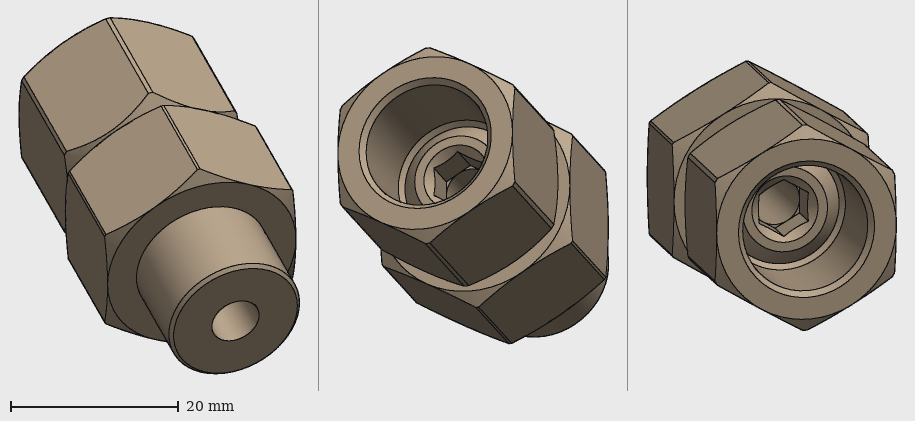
import cadquery as cq
import math

total_length = 44.5
nut_end = 18.0
body_hex_start = 18.5
body_hex_end = 32.97

nut_flats = 22.0
nut_corners = 25.05
nut_front_bevel = 2.5
body_flats = 24.0
body_corners = 27.5
hex_bevel_angle = 30.0
neck_diameter = 17.8
spigot_diameter = 16.65
spigot_chamfer = 0.45

mouth_diameter = 16.65
bore_diameter = 15.3
seat_diameter = 14.05
seat_position = 13.35
ball_diameter = 17.8
nose_diameter = 10.4
countersink_diameter = 8.1
passage_diameter = 6.0
socket_flats = 6.0
socket_depth = 5.35


def revolve_about_x(sketch):
    """Revolve a profile drawn as (position along X, radius)."""
    return sketch.close().revolve(360, (0, 0, 0), (1, 0, 0))


def cylinder(start, end, diameter):
    return cq.Workplane("YZ", origin=(start, 0, 0)).circle(diameter / 2).extrude(end - start)


def hex_prism(start, end, flats):
    """Hexagonal prism along X with corners pointing up and down."""
    corner_diameter = flats / math.cos(math.pi / 6)
    prism = cq.Workplane("YZ").polygon(6, corner_diameter).extrude(end - start)
    return prism.rotate((0, 0, 0), (1, 0, 0), 90).translate((start, 0, 0))


def hex_bevel_length(flats, corners):
    """Axial length of a bevel whose end circle touches the flats."""
    return (corners - flats) / 2 * math.tan(math.radians(hex_bevel_angle))


def make_hex(start, end, flats, corners, end_bevel, end_diameter):
    """Hexagon with its corners turned down and both ends bevelled."""
    envelope = revolve_about_x(
        cq.Workplane("XY")
        .moveTo(start, 0)
        .lineTo(start, flats / 2)
        .lineTo(start + hex_bevel_length(flats, corners), corners / 2)
        .lineTo(end - end_bevel, corners / 2)
        .lineTo(end, end_diameter / 2)
        .lineTo(end, 0)
    )
    return hex_prism(start, end, flats).intersect(envelope)


def make_nut_cavity():
    """Chamfered nut bore that closes onto the convex ball nose."""
    mouth_chamfer = (mouth_diameter - bore_diameter) / 2
    seat_radius = seat_diameter / 2
    seat_length = bore_diameter / 2 - seat_radius
    ball_radius = ball_diameter / 2
    nose_radius = nose_diameter / 2
    nose_angle = math.asin(nose_radius / ball_radius)
    seat_angle = math.asin(seat_radius / ball_radius)
    ball_center = seat_position + ball_radius * math.cos(seat_angle)
    nose_face = ball_center - ball_radius * math.cos(nose_angle)
    arc_angle = (nose_angle + seat_angle) / 2
    arc_middle = (
        ball_center - ball_radius * math.cos(arc_angle),
        ball_radius * math.sin(arc_angle),
    )
    cavity = revolve_about_x(
        cq.Workplane("XY")
        .moveTo(0, 0)
        .lineTo(0, mouth_diameter / 2)
        .lineTo(mouth_chamfer, bore_diameter / 2)
        .lineTo(seat_position - seat_length, bore_diameter / 2)
        .lineTo(seat_position, seat_radius)
        .threePointArc(arc_middle, (nose_face, nose_radius))
        .lineTo(nose_face, 0)
    )
    return cavity, nose_face


def make_passage(nose_face):
    """Through hole with a hexagon socket behind a conical countersink."""
    countersink_depth = (countersink_diameter - passage_diameter) / 2
    countersink = revolve_about_x(
        cq.Workplane("XY")
        .moveTo(nose_face, 0)
        .lineTo(nose_face, countersink_diameter / 2)
        .lineTo(nose_face + countersink_depth, passage_diameter / 2)
        .lineTo(nose_face + countersink_depth, 0)
    )
    socket = hex_prism(nose_face, nose_face + socket_depth, socket_flats)
    hole = cylinder(nose_face, total_length, passage_diameter)
    return hole.union(socket).union(countersink)


nut = make_hex(
    0, nut_end, nut_flats, nut_corners,
    nut_front_bevel, nut_corners - 2 * nut_front_bevel,
)
body_hex = make_hex(
    body_hex_start, body_hex_end, body_flats, body_corners,
    hex_bevel_length(body_flats, body_corners), body_flats,
)
neck = cylinder(seat_position, body_hex_end, neck_diameter)
spigot = cylinder(body_hex_start, total_length, spigot_diameter).faces(">X").chamfer(spigot_chamfer)

nut_cavity, nose_face = make_nut_cavity()
result = nut.union(neck).union(body_hex).union(spigot)
result = result.cut(nut_cavity).cut(make_passage(nose_face))